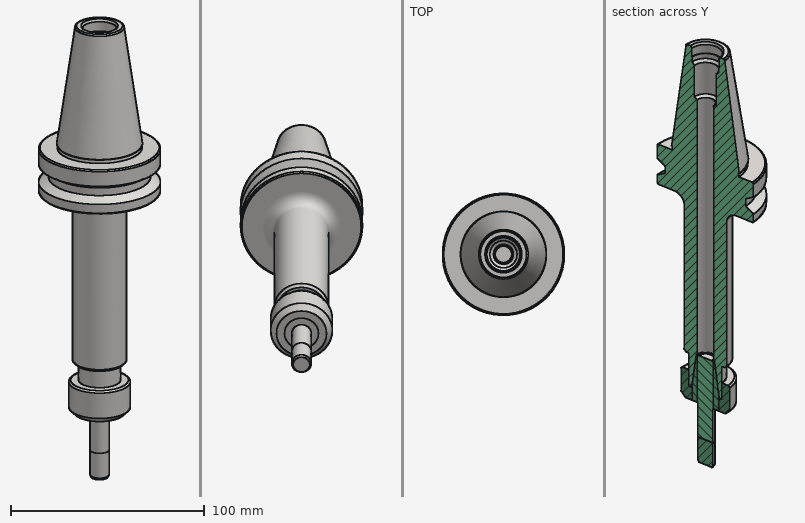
import cadquery as cq
import math


total_height = 251.0
gauge_z = 185.5
gauge_dia = 44.5
taper_ratio = 7 / 24
taper_top_dia = gauge_dia - taper_ratio * (total_height - gauge_z)
taper_edge = 0.8
relief_depth = 0.5

flange_dia = 63.0
flange_top_z = 183.3
flange_bottom_z = 158.7
flange_edge = 0.8
vee_dia = 53.0
vee_depth = (flange_dia - vee_dia) / 2
vee_rise = vee_depth * math.tan(math.radians(30))
vee_top_z = 171.5
vee_bottom_z = 167.2

shaft_dia = 28.0
shaft_bottom_z = 63.8
shaft_edge = 1.5
root_fillet = 6.0
neck_dia = 21.8
neck_bottom_z = 43.7

mouth_dia = 19.0
counterbore_dia = 17.5
pilot_dia = 17.0
countersink_slope = math.tan(math.radians(60))
mouth_edge = (mouth_dia - counterbore_dia) / 2 * countersink_slope
counterbore_depth = 6.5
pilot_depth = 9.5
thread_dia = 14.0
thread_start_depth = pilot_depth + (pilot_dia - thread_dia) / 2
thread_end_depth = 30.1
through_dia = 10.3
drill_tip_height = (thread_dia - through_dia) / 2 * math.tan(math.radians(30))

collet_mouth_dia = 17.5
collet_top_dia = 11.5
collet_top_z = 65.0

nut_dia = 32.0
nut_top_z = 54.0
nut_bottom_z = 36.0
nut_top_edge = 1.0
nut_bottom_bevel = 3.0

tool_dia = 10.0
cutter_length = 15.0
shank_top_edge = 0.8
tip_edge_width = 0.8
tip_edge_height = 1.3


def revolve(profile):
    """Revolve a half profile drawn on XZ about the Z axis."""
    return profile.close().revolve(360, (0, 0, 0), (0, 1, 0))


def cylinder(diameter, bottom_z, top_z):
    return cq.Workplane("XY").workplane(offset=bottom_z).circle(diameter / 2).extrude(top_z - bottom_z)


def make_holder_blank():
    shaft_radius = shaft_dia / 2
    flange_radius = flange_dia / 2
    gauge_radius = gauge_dia / 2
    taper_edge_radius = (taper_top_dia + taper_ratio * taper_edge) / 2
    fillet_mid = root_fillet * (1 - math.sqrt(0.5))
    return revolve(
        cq.Workplane("XZ")
        .moveTo(0, neck_bottom_z)
        .lineTo(neck_dia / 2, neck_bottom_z)
        .lineTo(neck_dia / 2, shaft_bottom_z)
        .lineTo(shaft_radius - shaft_edge, shaft_bottom_z)
        .lineTo(shaft_radius, shaft_bottom_z + shaft_edge)
        .lineTo(shaft_radius, flange_bottom_z - root_fillet)
        .threePointArc(
            (shaft_radius + fillet_mid, flange_bottom_z - fillet_mid),
            (shaft_radius + root_fillet, flange_bottom_z),
        )
        .lineTo(flange_radius - flange_edge, flange_bottom_z)
        .lineTo(flange_radius, flange_bottom_z + flange_edge)
        .lineTo(flange_radius, vee_bottom_z - vee_rise)
        .lineTo(vee_dia / 2, vee_bottom_z)
        .lineTo(vee_dia / 2, vee_top_z)
        .lineTo(flange_radius, vee_top_z + vee_rise)
        .lineTo(flange_radius, flange_top_z - flange_edge)
        .lineTo(flange_radius - flange_edge, flange_top_z)
        .lineTo(gauge_radius - relief_depth / 2, flange_top_z)
        .lineTo(gauge_radius - relief_depth, gauge_z - relief_depth)
        .lineTo(gauge_radius, gauge_z)
        .lineTo(taper_edge_radius, total_height - taper_edge)
        .lineTo(taper_top_dia / 2 - taper_edge, total_height)
        .lineTo(0, total_height)
    )


def make_holder_bore():
    """Stepped bore, running from the taper end down to the collet seat."""
    return revolve(
        cq.Workplane("XZ")
        .moveTo(0, total_height)
        .lineTo(mouth_dia / 2, total_height)
        .lineTo(counterbore_dia / 2, total_height - mouth_edge)
        .lineTo(counterbore_dia / 2, total_height - counterbore_depth)
        .lineTo(pilot_dia / 2, total_height - counterbore_depth)
        .lineTo(pilot_dia / 2, total_height - pilot_depth)
        .lineTo(thread_dia / 2, total_height - thread_start_depth)
        .lineTo(thread_dia / 2, total_height - thread_end_depth)
        .lineTo(through_dia / 2, total_height - thread_end_depth - drill_tip_height)
        .lineTo(through_dia / 2, collet_top_z)
        .lineTo(0, collet_top_z)
    )


def make_collet_blank():
    """Straight nose inside the nut, then a cone seated in the holder neck."""
    return revolve(
        cq.Workplane("XZ")
        .moveTo(0, nut_bottom_z)
        .lineTo(collet_mouth_dia / 2, nut_bottom_z)
        .lineTo(collet_mouth_dia / 2, neck_bottom_z)
        .lineTo(collet_top_dia / 2, collet_top_z)
        .lineTo(0, collet_top_z)
    )


def make_holder():
    return make_holder_blank().cut(make_holder_bore()).cut(make_collet_blank())


def make_collet():
    return make_collet_blank().cut(cylinder(tool_dia, nut_bottom_z, collet_top_z))


def make_nut():
    body = cylinder(nut_dia, nut_bottom_z, nut_top_z)
    body = body.faces(">Z").chamfer(nut_top_edge)
    body = body.faces("<Z").chamfer(nut_bottom_bevel)
    neck_bore = cylinder(neck_dia, neck_bottom_z, nut_top_z)
    nose_bore = cylinder(collet_mouth_dia, nut_bottom_z, neck_bottom_z)
    return body.cut(neck_bore).cut(nose_bore)


def make_shank():
    return cylinder(tool_dia, cutter_length, collet_top_z).faces(">Z").chamfer(shank_top_edge)


def make_cutter():
    return revolve(
        cq.Workplane("XZ")
        .lineTo(tool_dia / 2 - tip_edge_width, 0)
        .lineTo(tool_dia / 2, tip_edge_height)
        .lineTo(tool_dia / 2, cutter_length)
        .lineTo(0, cutter_length)
    )


holder = make_holder()
collet = make_collet()
nut = make_nut()
shank = make_shank()
cutter = make_cutter()

result = cq.Compound.makeCompound(
    [holder.val(), collet.val(), nut.val(), shank.val(), cutter.val()]
)